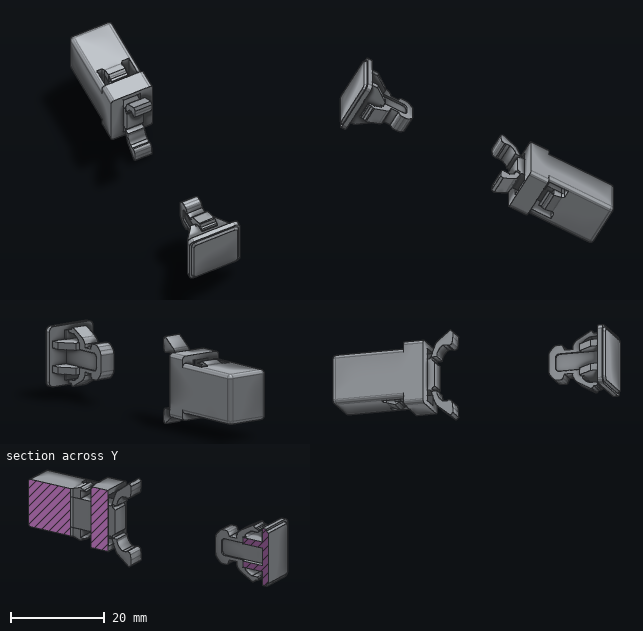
import cadquery as cq


housing_length = 20.4
housing_half_width = 4.95
body_half_height = 5.45
flange_start = 16.0
flange_half_height = 7.0
edge_radius = 0.8
body_side_edge_radius = 0.85

window_start = 10.75
window_y_min = -3.6
window_y_max = 4.0
root_chamfer = 0.4
ledge_length = 0.65
ledge_thickness = 1.0

tongue_ramp_start = 11.3
tongue_peak_x = 13.15
tongue_rise = 0.6
lip_break_x = 13.7
lip_break_rise = 0.35
lip_step_x = 14.07
lip_step_rise = 0.1
lip_end = 14.65
lip_underside = 5.36

latch_half_width = 2.0
latch_half_height = 3.45
latch_nose_x = 22.05
latch_nose_half_height = 2.7
latch_nose_shoulder = 3.2
flange_opening_half_height = 5.8
hinge_start_x = 20.75
hinge_end_x = 21.42
hinge_fillet_middle = (20.98, 3.51)
hinge_fillet_end = (21.13, 3.68)

arm_heel = (21.28, 4.0)
arm_outer_bend_start = (22.1, 6.35)
arm_outer_bend_middle = (22.35, 6.85)
arm_outer_bend_end = (22.75, 7.27)
arm_tip = (25.55, 9.5)
arm_tip_corner = (26.15, 8.95)
arm_end_face_break = (26.1, 7.8)
arm_lobe_start = (25.95, 6.6)
arm_lobe_middle = (25.6, 6.15)
arm_lobe_end = (25.15, 6.05)
arm_lobe_crease = (24.75, 6.2)
arm_inner_bend_start = (23.9, 6.2)
arm_inner_bend_middle = (23.0, 5.35)
arm_inner_bend_end = (22.55, 4.3)
arm_underside = 3.8

striker_end = 61.35
cap_thickness = 0.5
cap_inset = 0.45
cap_bevel_angle = 38
plate_thickness = 1.1
plate_half_width = 6.0
plate_half_height = 6.55
plate_corner_radius = 1.1
pad_thickness = 0.4
pad_half_height = 5.45
stem_half_width = 1.8
stem_half_height = 2.67
stem_tip_x = 47.5
pocket_start = 49.0
pocket_half_height = 1.92
pocket_depth = 0.45
pocket_corner_radius = 0.9
rib_start = 54.75
rib_shoulder_x = 57.9
rib_start_half_width = 2.75
rib_half_width = 5.1
rib_top = 3.44

knob_face_half_height = 1.8
knob_nose_middle = (47.6, 2.3)
knob_nose_end = (47.85, 2.75)
knob_crown_start = (48.5, 3.5)
knob_crown_middle = (48.95, 3.78)
knob_half_height = 3.87
knob_crown_x = 49.5
knob_heel_x = 50.3
knob_heel_middle = (50.52, 3.77)
knob_heel_end = (50.7, 3.5)
waist_start = 51.05
waist_end = 52.85

barb_bend_start = (52.9, 3.4)
barb_bend_middle = (53.28, 4.12)
barb_bend_end = (53.85, 4.68)
barb_crest = (56.93, 6.42)
barb_crest_back = (57.2, 6.37)
barb_finger_x = 57.67
barb_finger_top = 5.88
barb_finger_bottom = 5.08
barb_finger_end = 58.45
barb_finger_chamfer = 0.25
barb_inner_start_x = 56.8
barb_inner_middle = (55.95, 4.65)
barb_inner_end = (55.2, 4.05)
barb_root_middle = (55.1, 3.65)
barb_root_x = 55.45

plate_front = striker_end - cap_thickness
plate_back = plate_front - plate_thickness


def block(x_range, y_range, z_range):
    """Box spanning the given (min, max) ranges."""
    size = [high - low for low, high in (x_range, y_range, z_range)]
    corner = (x_range[0], y_range[0], z_range[0])
    return cq.Workplane("XY").box(*size, centered=False).translate(corner)


def centered_block(x_range, half_width, half_height):
    """Box centred on the X axis."""
    return block(x_range, (-half_width, half_width), (-half_height, half_height))


def extrude_across(outline, half_width):
    """Extrude a closed XZ outline evenly to both sides of Y = 0."""
    return outline.close().extrude(half_width, both=True)


def with_lower_copy(upper):
    """Join an upper feature with its mirror image below Z = 0."""
    return upper.union(upper.mirror("XY"))


def make_tongue_nose():
    top = body_half_height
    outline = (
        cq.Workplane("XZ")
        .moveTo(tongue_ramp_start, latch_half_height)
        .lineTo(tongue_ramp_start, top)
        .lineTo(tongue_peak_x, top + tongue_rise)
        .lineTo(lip_break_x, top + lip_break_rise)
        .lineTo(lip_step_x, top + lip_step_rise)
        .lineTo(lip_end, top)
        .lineTo(lip_end, lip_underside)
        .lineTo(tongue_peak_x, lip_underside)
        .lineTo(tongue_peak_x, latch_half_height)
    )
    return extrude_across(outline, latch_half_width)


def make_window():
    """Cut between the end wall and the flange, chamfered into the tongue root on both sides."""
    root_half_width = latch_half_width + root_chamfer
    outline = (
        cq.Workplane("XY")
        .moveTo(window_start, window_y_min)
        .lineTo(window_start, -root_half_width)
        .lineTo(tongue_ramp_start, -latch_half_width)
        .lineTo(tongue_ramp_start, latch_half_width)
        .lineTo(window_start, root_half_width)
        .lineTo(window_start, window_y_max)
        .lineTo(flange_start, window_y_max)
        .lineTo(flange_start, window_y_min)
        .close()
    )
    return outline.extrude(body_half_height, both=True)


def make_housing():
    body = centered_block((0, flange_start), housing_half_width, body_half_height)
    body = body.edges("|X").fillet(body_side_edge_radius)
    body = body.faces("<X").edges().fillet(edge_radius)
    flange = centered_block((flange_start, housing_length), housing_half_width, flange_half_height)
    flange = flange.edges("|X").fillet(edge_radius)
    flange_opening = centered_block(
        (flange_start, housing_length), latch_half_width, flange_opening_half_height
    )
    latch_bore = centered_block((window_start, housing_length), latch_half_width, latch_half_height)
    ledge = block(
        (flange_start - ledge_length, flange_start),
        (latch_half_width, window_y_max),
        (-body_half_height, ledge_thickness - body_half_height),
    )
    housing = body.union(flange).cut(make_window()).cut(flange_opening).cut(latch_bore)
    return housing.union(with_lower_copy(make_tongue_nose())).union(ledge)


def make_latch_arm():
    """Upper gripping arm, joined to the bar by a thin hinge."""
    outline = (
        cq.Workplane("XZ")
        .moveTo(hinge_start_x, latch_half_height)
        .threePointArc(hinge_fillet_middle, hinge_fillet_end)
        .lineTo(*arm_heel)
        .lineTo(*arm_outer_bend_start)
        .threePointArc(arm_outer_bend_middle, arm_outer_bend_end)
        .lineTo(*arm_tip)
        .lineTo(*arm_tip_corner)
        .lineTo(*arm_end_face_break)
        .lineTo(*arm_lobe_start)
        .threePointArc(arm_lobe_middle, arm_lobe_end)
        .lineTo(*arm_lobe_crease)
        .lineTo(*arm_inner_bend_start)
        .threePointArc(arm_inner_bend_middle, arm_inner_bend_end)
        .lineTo(arm_inner_bend_end[0], arm_underside)
        .lineTo(hinge_end_x, arm_underside)
        .lineTo(hinge_end_x, latch_half_height)
    )
    return extrude_across(outline, latch_half_width)


def make_latch():
    outline = (
        cq.Workplane("XZ")
        .moveTo(window_start, -latch_half_height)
        .lineTo(window_start, latch_half_height)
        .lineTo(hinge_end_x, latch_half_height)
        .lineTo(hinge_end_x, latch_nose_shoulder)
        .lineTo(latch_nose_x, latch_nose_half_height)
        .lineTo(latch_nose_x, -latch_nose_half_height)
        .lineTo(hinge_end_x, -latch_nose_shoulder)
        .lineTo(hinge_end_x, -latch_half_height)
    )
    bar = extrude_across(outline, latch_half_width)
    return bar.union(with_lower_copy(make_latch_arm()))


def make_plate():
    plate = centered_block((plate_back, plate_front), plate_half_width, plate_half_height)
    plate = plate.edges("|X").fillet(plate_corner_radius)
    cap = (
        cq.Workplane("YZ", origin=(plate_front, 0, 0))
        .sketch()
        .rect(2 * (plate_half_width - cap_inset), 2 * (plate_half_height - cap_inset))
        .vertices()
        .fillet(plate_corner_radius)
        .finalize()
        .extrude(cap_thickness, taper=cap_bevel_angle)
    )
    pad = centered_block((plate_back - pad_thickness, plate_back), stem_half_width, pad_half_height)
    return plate.union(cap).union(pad)


def make_upper_stem():
    """Upper half of the stem: knob at the tip, waist, then a barb sweeping back to the plate."""
    outline = (
        cq.Workplane("XZ")
        .moveTo(stem_tip_x, 0)
        .lineTo(stem_tip_x, knob_face_half_height)
        .threePointArc(knob_nose_middle, knob_nose_end)
        .lineTo(*knob_crown_start)
        .threePointArc(knob_crown_middle, (knob_crown_x, knob_half_height))
        .lineTo(knob_heel_x, knob_half_height)
        .threePointArc(knob_heel_middle, knob_heel_end)
        .lineTo(waist_start, stem_half_height)
        .lineTo(waist_end, stem_half_height)
        .lineTo(*barb_bend_start)
        .threePointArc(barb_bend_middle, barb_bend_end)
        .lineTo(*barb_crest)
        .lineTo(*barb_crest_back)
        .lineTo(barb_finger_x, barb_finger_top)
        .lineTo(barb_finger_end - barb_finger_chamfer, barb_finger_top)
        .lineTo(barb_finger_end, barb_finger_top - barb_finger_chamfer)
        .lineTo(barb_finger_end, barb_finger_bottom + barb_finger_chamfer)
        .lineTo(barb_finger_end - barb_finger_chamfer, barb_finger_bottom)
        .lineTo(barb_inner_start_x, barb_finger_bottom)
        .threePointArc(barb_inner_middle, barb_inner_end)
        .threePointArc(barb_root_middle, (barb_root_x, rib_top))
        .lineTo(plate_back, rib_top)
        .lineTo(plate_back, 0)
    )
    return extrude_across(outline, stem_half_width)


def make_stem_pockets():
    """Shallow recess in each side of the stem, running from the knob to the plate."""
    floor_half_width = stem_half_width - pocket_depth
    pocket = block(
        (pocket_start, plate_back),
        (floor_half_width, stem_half_width),
        (-pocket_half_height, pocket_half_height),
    )
    pocket = pocket.edges("|Y and <X").fillet(pocket_corner_radius)
    return pocket.union(pocket.mirror("XZ"))


def make_upper_rib():
    outline = [
        (rib_start, -rib_start_half_width),
        (rib_start, rib_start_half_width),
        (rib_shoulder_x, rib_half_width),
        (plate_back, rib_half_width),
        (plate_back, -rib_half_width),
        (rib_shoulder_x, -rib_half_width),
    ]
    rib = cq.Workplane("XY").polyline(outline).close().extrude(rib_top - pocket_half_height)
    return rib.translate((0, 0, pocket_half_height))


def make_striker():
    striker = make_plate().union(with_lower_copy(make_upper_stem())).cut(make_stem_pockets())
    return striker.union(with_lower_copy(make_upper_rib()))


housing = make_housing()
latch = make_latch()
striker = make_striker()

result = cq.Compound.makeCompound(
    [*housing.solids().vals(), *latch.solids().vals(), *striker.solids().vals()]
)